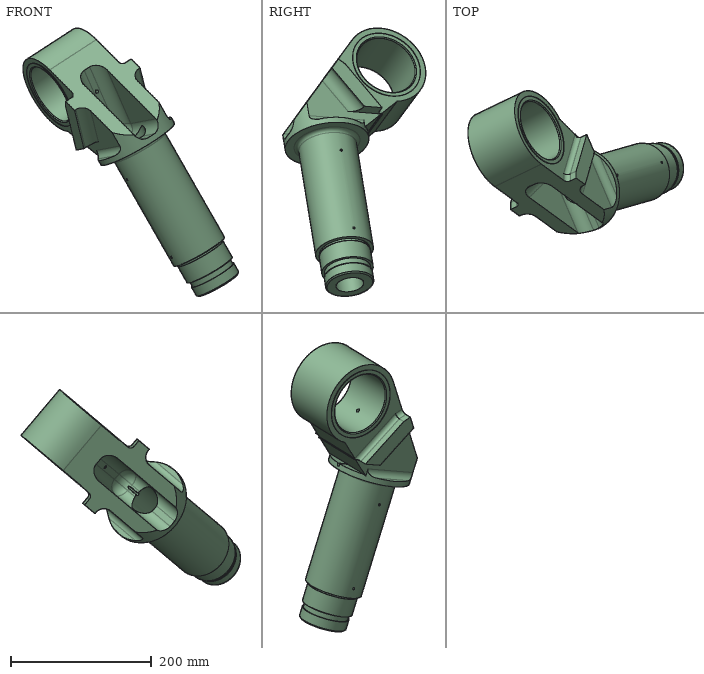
import cadquery as cq
import math


SPIN = 8.4
LEAN = -30.7
HEADING = 15.9

SPINDLE_R = 41.5
SPINDLE_LENGTH = 232.3
BEARING_SHOULDER_Z = -177.5
RELIEF_WIDTH = 3.5
RELIEF_R = 36.0
BEARING_R = 37.0
THREAD_TOP_Z = -216.3
THREAD_GROOVE_TOP_Z = -208.0
THREAD_GROOVE_R = 33.0
THREAD_R = 34.5
TIP_CHAMFER = 2.0
ROOT_FILLET = 5.7
BORE_R = 19.8
CROSS_HOLE_R = 1.5
CROSS_HOLE_ZS = (-34.5, -163.0)

FLANGE_R = 60.0
LEDGE_Z = 8.5
LEDGE_FILLET = 9.5
FLANGE_PORT_Z = 6.5

BODY_WIDTH = 85.3
HALF_WIDTH = BODY_WIDTH / 2
EYE_Y = 92.0
EYE_Z = 114.0
EYE_R = 60.0
EYE_BORE_R = 44.5
BORE_CHAMFER = 1.5
BUSH_R = 51.8
BUSH_RECESS = 0.8
FACE_ANGLE = 38.2
UNDERSIDE_Y = 34.3
UNDERSIDE_RISE = 0.83

LUG_REACH = 59.8
LUG_ANGLE = 34.4
LUG_LOW = -5.0
LUG_HIGH = 19.0
LUG_TOP = 15.2
LUG_UPPER_FILLET = 6.5
LUG_LOWER_FILLET = 15.0
LUG_END_Z = 30.5

POCKET_WIDTH = 42.0
POCKET_ANGLE = 14.9
POCKET_TOP = 41.0
POCKET_FILLET = 16.0
OIL_HOLE_R = 2.3
OIL_HOLE_Z = 89.5

FAR = 380.7

sin_face = math.sin(math.radians(FACE_ANGLE))
cos_face = math.cos(math.radians(FACE_ANGLE))
FACE_Z = EYE_Z + (EYE_R - EYE_Y * cos_face) / sin_face


def on_face(distance):
    """Point (Y, Z) of the front face, by its distance up the face from the spindle axis."""
    return distance * sin_face, FACE_Z + distance * cos_face


def prism(points, half_width):
    """Polygon in the YZ plane, extruded to both sides of X = 0."""
    return cq.Workplane("YZ").polyline(points).close().extrude(half_width, both=True)


def rod(radius, half_length, y, z):
    """Cylinder along X, centred on X = 0."""
    return cq.Workplane("YZ").center(y, z).circle(radius).extrude(half_length, both=True)


def spindle():
    """Turned spindle with its flange."""
    relief_z = BEARING_SHOULDER_Z - RELIEF_WIDTH
    profile = (
        cq.Workplane("XZ")
        .moveTo(0, LEDGE_Z)
        .lineTo(FLANGE_R, LEDGE_Z)
        .lineTo(FLANGE_R, 0)
        .lineTo(SPINDLE_R + ROOT_FILLET, 0)
        .radiusArc((SPINDLE_R, -ROOT_FILLET), -ROOT_FILLET)
        .lineTo(SPINDLE_R, BEARING_SHOULDER_Z)
        .lineTo(RELIEF_R, BEARING_SHOULDER_Z)
        .lineTo(RELIEF_R, relief_z)
        .lineTo(BEARING_R, relief_z)
        .lineTo(BEARING_R, THREAD_GROOVE_TOP_Z)
        .lineTo(THREAD_GROOVE_R, THREAD_GROOVE_TOP_Z)
        .lineTo(THREAD_GROOVE_R, THREAD_TOP_Z)
        .lineTo(THREAD_R, THREAD_TOP_Z)
        .lineTo(THREAD_R, TIP_CHAMFER - SPINDLE_LENGTH)
        .lineTo(THREAD_R - TIP_CHAMFER, -SPINDLE_LENGTH)
        .lineTo(0, -SPINDLE_LENGTH)
        .close()
    )
    return profile.revolve(360, (0, 0, 0), (0, 1, 0))


def body():
    """Web from the flange up to the eye, with the sloping front face and underside."""
    tangent_y = EYE_Y - EYE_R * cos_face
    tangent_z = EYE_Z + EYE_R * sin_face
    slope = math.atan(UNDERSIDE_RISE)
    reach = (EYE_Y - UNDERSIDE_Y) * math.cos(slope) + EYE_Z * math.sin(slope)
    underside_end = (UNDERSIDE_Y + reach * math.cos(slope), reach * math.sin(slope))
    nose_top = (-FLANGE_R, FACE_Z - FLANGE_R * cos_face / sin_face)
    web = prism(
        [
            (tangent_y, tangent_z),
            nose_top,
            (-FLANGE_R, 0),
            (UNDERSIDE_Y, 0),
            underside_end,
            (EYE_Y, EYE_Z),
        ],
        HALF_WIDTH,
    )
    ledge_blend = (
        cq.Workplane("XZ", origin=(0, FAR / 2, 0))
        .moveTo(HALF_WIDTH, LEDGE_Z)
        .lineTo(HALF_WIDTH + LEDGE_FILLET, LEDGE_Z)
        .radiusArc((HALF_WIDTH, LEDGE_Z + LEDGE_FILLET), LEDGE_FILLET)
        .close()
        .extrude(FAR)
    )
    ledge_blend = ledge_blend.union(ledge_blend.mirror("YZ"))
    round_nose = cq.Workplane("XY").circle(FLANGE_R).extrude(FAR)
    behind = cq.Workplane("XY").box(FAR, FAR, FAR, centered=(True, False, False))
    web = web.intersect(round_nose.union(behind))
    eye = rod(EYE_R, HALF_WIDTH, EYE_Y, EYE_Z)
    return web.union(ledge_blend.intersect(round_nose)).union(eye)


def lugs():
    """Side lugs blended into the body, running down from the front face to a level end."""
    lean = math.radians(LUG_ANGLE)

    def offset_of(distance):
        y, z = on_face(distance)
        return y * math.cos(lean) + z * math.sin(lean)

    low = offset_of(LUG_LOW)
    high = offset_of(LUG_HIGH)
    section_plane = cq.Plane(
        origin=(0, 0, 0), xDir=(1, 0, 0), normal=(0, -math.sin(lean), math.cos(lean))
    )
    section = (
        cq.Workplane(section_plane)
        .moveTo(0, low - LUG_LOWER_FILLET)
        .lineTo(HALF_WIDTH, low - LUG_LOWER_FILLET)
        .radiusArc((HALF_WIDTH + LUG_LOWER_FILLET, low), LUG_LOWER_FILLET)
        .lineTo(LUG_REACH, low)
        .lineTo(LUG_REACH, high)
        .lineTo(HALF_WIDTH + LUG_UPPER_FILLET, high)
        .radiusArc((HALF_WIDTH, high + LUG_UPPER_FILLET), LUG_UPPER_FILLET)
        .lineTo(0, high + LUG_UPPER_FILLET)
        .close()
        .extrude(FAR, both=True)
    )
    section = section.union(section.mirror("YZ"))
    end_distance = (LUG_END_Z - FACE_Z) / cos_face
    below_face = prism([on_face(end_distance), on_face(FAR), (FAR, LUG_END_Z)], LUG_REACH)

    relief_depth = (LUG_HIGH - LUG_TOP) / math.tan(math.radians(90 - FACE_ANGLE - LUG_ANGLE))
    face_plane = cq.Plane(origin=(0, 0, FACE_Z), xDir=(1, 0, 0), normal=(0, -cos_face, sin_face))
    relief = (
        cq.Workplane(face_plane)
        .moveTo(LUG_REACH, LUG_TOP)
        .lineTo(HALF_WIDTH + LUG_UPPER_FILLET, LUG_TOP)
        .radiusArc((HALF_WIDTH, LUG_TOP + LUG_UPPER_FILLET), LUG_UPPER_FILLET)
        .lineTo(HALF_WIDTH, LUG_REACH)
        .lineTo(LUG_REACH, LUG_REACH)
        .close()
        .extrude(-relief_depth)
    )
    return section.intersect(below_face).cut(relief).cut(relief.mirror("YZ"))


def front_pocket():
    """Trough with a leaning rear wall, open through the front face and the flange nose."""
    rear_y, rear_z = on_face(POCKET_TOP)
    lean = math.tan(math.radians(POCKET_ANGLE))
    rear_floor_y = rear_y + lean * (rear_z - LEDGE_Z)
    trough = prism(
        [
            (-FAR, LEDGE_Z),
            (rear_floor_y, LEDGE_Z),
            (rear_floor_y - lean * FAR, LEDGE_Z + FAR),
            (-FAR, LEDGE_Z + FAR),
        ],
        POCKET_WIDTH / 2,
    )
    rear_edges = trough.faces(">Y").edges("not >Z")
    return rear_edges.add(trough.edges("|Y and <Z")).fillet(POCKET_FILLET)


def eye_bore():
    """Eye bore with chamfered mouths, and the shallow recess around each mouth."""
    bore = rod(EYE_BORE_R, HALF_WIDTH, EYE_Y, EYE_Z)
    mouth_depth = BORE_CHAMFER + BUSH_RECESS
    for side in (-1, 1):
        end_face = cq.Workplane("YZ", origin=(side * HALF_WIDTH, EYE_Y, EYE_Z))
        recess = end_face.circle(BUSH_R).extrude(-side * BUSH_RECESS)
        mouth = end_face.circle(EYE_BORE_R + mouth_depth).extrude(-side * mouth_depth, taper=45)
        bore = bore.union(recess).union(mouth)
    return bore


def spindle_bore():
    """Bore from the spindle tip up into the floor of the front pocket."""
    length = SPINDLE_LENGTH + LEDGE_Z + POCKET_FILLET
    return cq.Workplane("XY", origin=(0, 0, -SPINDLE_LENGTH)).circle(BORE_R).extrude(length)


def oil_hole(z, length):
    """Round hole along +Y, starting on the spindle axis."""
    return cq.Workplane("XZ", origin=(0, 0, z)).circle(OIL_HOLE_R).extrude(-length)


part = spindle().union(body()).union(lugs())
part = part.cut(front_pocket()).cut(eye_bore()).cut(spindle_bore())
for hole_z in CROSS_HOLE_ZS:
    part = part.cut(rod(CROSS_HOLE_R, SPINDLE_R, 0, hole_z))
part = part.cut(oil_hole(OIL_HOLE_Z, EYE_Y))
part = part.cut(oil_hole(FLANGE_PORT_Z, FLANGE_R))

result = (
    part.rotate((0, 0, 0), (0, 0, 1), SPIN)
    .rotate((0, 0, 0), (0, 1, 0), LEAN)
    .rotate((0, 0, 0), (0, 0, 1), HEADING)
)